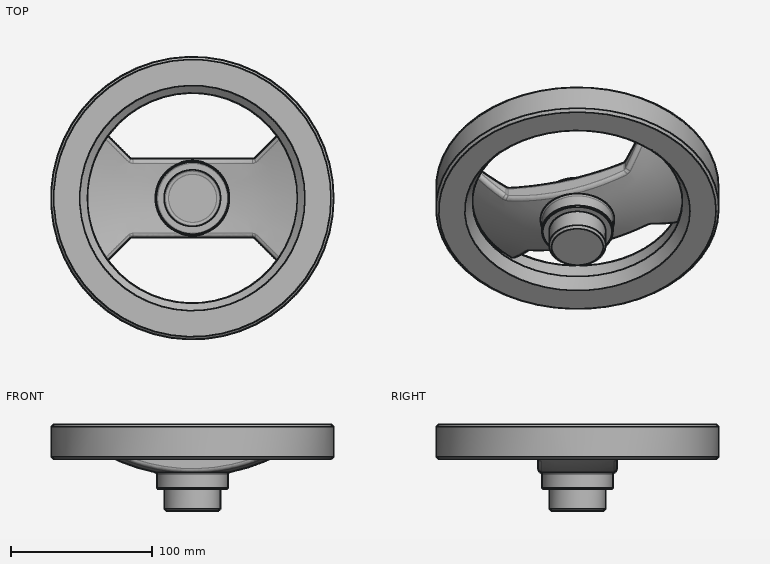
import cadquery as cq
import math

rim_radius = 100
rim_height = 25.0
overall_height = 61.5
rim_edge = 2.0
bore_radius = 74.2
mouth_radius = 79.5
upper_taper_height = 5.5
lower_taper_height = 8.5

web_top_center_z = 3.8
web_top_sphere = 186
web_bottom_center_z = -11.8
web_bottom_sphere = 132
web_overlap = 2.0
selection_margin = 6.0

waist_half_width = 28.0
waist_half_length = 43.5
flare_length = 32
corner_radius = 2.0
web_edge_fillet = 3.0

hub_radius = 25.2
hub_bottom_z = -21.0
hub_edge = 0.8
hub_foot_radius = 26.2
hub_foot_z = -9.5
stub_radius = 20.0
stub_bottom_z = rim_height - overall_height
stub_chamfer = 1.8

boss_radius = 51.0 / 2
boss_top_z = 8.0
boss_edge = 0.8
boss_foot_radius = 26.5
boss_foot_z = 5.5
recess_radius = 20.0
recess_lip_radius = 19.2
recess_lip_depth = 0.5
recess_floor_radius = 17.0
recess_depth = 0.8


def cylinder(radius, bottom_z, top_z):
    """Upright cylinder on the wheel axis."""
    return cq.Workplane("XY").workplane(offset=bottom_z).circle(radius).extrude(top_z - bottom_z)


def ball(radius, lowest_z):
    """Sphere on the wheel axis, placed by its lowest point."""
    return cq.Workplane("XY").sphere(radius).translate((0, 0, lowest_z + radius))


def flared_post(radius, end_z, foot_radius, foot_z):
    """Post from z = 0 to end_z, with a concave fillet where it leaves the web at foot_z."""
    flare = foot_radius - radius
    rise = math.copysign(flare, end_z)
    arc_middle = (
        foot_radius - flare * math.sqrt(0.5),
        foot_z + rise * (1 - math.sqrt(0.5)),
    )
    return (
        cq.Workplane("XZ")
        .lineTo(foot_radius, 0)
        .lineTo(foot_radius, foot_z)
        .threePointArc(arc_middle, (radius, foot_z + rise))
        .lineTo(radius, end_z)
        .lineTo(0, end_z)
        .close()
        .revolve(360, (0, 0), (0, 1))
    )


def make_rim():
    half_section = [
        (mouth_radius, 0),
        (rim_radius - rim_edge, 0),
        (rim_radius, rim_edge),
        (rim_radius, rim_height - rim_edge),
        (rim_radius - rim_edge, rim_height),
        (mouth_radius, rim_height),
        (bore_radius, rim_height - upper_taper_height),
        (bore_radius, lower_taper_height),
    ]
    return cq.Workplane("XZ").polyline(half_section).close().revolve(360, (0, 0), (0, 1))


def make_web():
    end_x = waist_half_length + flare_length
    end_y = waist_half_width + flare_length
    outline = [
        (waist_half_length, waist_half_width),
        (end_x, end_y),
        (end_x, -end_y),
        (waist_half_length, -waist_half_width),
        (-waist_half_length, -waist_half_width),
        (-end_x, -end_y),
        (-end_x, end_y),
        (-waist_half_length, waist_half_width),
    ]
    column = (
        cq.Workplane("XY")
        .workplane(offset=web_bottom_center_z - web_overlap)
        .polyline(outline)
        .close()
        .extrude(rim_height - web_bottom_center_z)
    )
    reach_x = waist_half_length + selection_margin
    reach_y = waist_half_width + selection_margin
    waist_corners = cq.selectors.BoxSelector(
        (-reach_x, -reach_y, -rim_radius),
        (reach_x, reach_y, rim_radius),
    )
    column = column.edges("|Z").edges(waist_corners).fillet(corner_radius)
    dish = ball(web_bottom_sphere, web_bottom_center_z).cut(ball(web_top_sphere, web_top_center_z))
    web = column.intersect(dish).intersect(
        cylinder(bore_radius + web_overlap, web_bottom_center_z - web_overlap, rim_height)
    )
    reach = bore_radius - selection_margin
    front_side = cq.selectors.BoxSelector((-reach, -reach, -reach), (reach, -selection_margin, reach))
    back_side = cq.selectors.BoxSelector((-reach, selection_margin, -reach), (reach, reach, reach))
    return web.faces("%SPHERE").edges(front_side + back_side).fillet(web_edge_fillet)


def make_hub():
    hub = flared_post(hub_radius, hub_bottom_z, hub_foot_radius, hub_foot_z).faces("<Z").chamfer(hub_edge)
    stub = cylinder(stub_radius, stub_bottom_z, hub_bottom_z).faces("<Z").chamfer(stub_chamfer)
    return hub.union(stub)


def make_boss():
    boss = flared_post(boss_radius, boss_top_z, boss_foot_radius, boss_foot_z)
    boss = boss.faces(">Z").edges().fillet(boss_edge)
    recess_section = [
        (0, boss_top_z),
        (recess_radius, boss_top_z),
        (recess_lip_radius, boss_top_z - recess_lip_depth),
        (recess_floor_radius, boss_top_z - recess_depth),
        (0, boss_top_z - recess_depth),
    ]
    recess = cq.Workplane("XZ").polyline(recess_section).close().revolve(360, (0, 0), (0, 1))
    return boss.cut(recess)


result = make_rim().union(make_web()).union(make_hub()).union(make_boss())